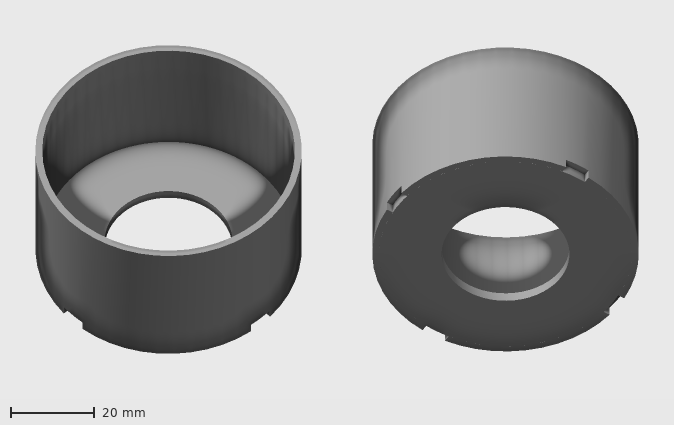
import cadquery as cq

outer_diameter = 63.5
wall_thickness = 1.65
shell_height = 38.1
inner_diameter = outer_diameter - 2 * wall_thickness

notch_width = 6.35
notch_height = 2.5
notch_count = 4

base_thickness = 2.6
base_hole_diameter = 30.5


def ring(outside, inside, height):
    """Flat-ended ring standing on the XY plane around the Z axis."""
    return cq.Workplane("XY").circle(outside / 2).circle(inside / 2).extrude(height)


def notch_cutter():
    """Block that crosses the +X wall and stops at the middle of the bore."""
    return cq.Workplane("XY").box(
        outer_diameter, notch_width, notch_height, centered=(False, True, False)
    )


def make_shell():
    """Tube with evenly spaced notches cut through its wall at the bottom."""
    shell = ring(outer_diameter, inner_diameter, shell_height)
    for index in range(notch_count):
        angle = index * 360 / notch_count
        shell = shell.cut(notch_cutter().rotate((0, 0, 0), (0, 0, 1), angle))
    return shell


def make_base():
    """Ring that fits the bore, flush with the bottom of the shell."""
    return ring(inner_diameter, base_hole_diameter, base_thickness)


shell = make_shell()
base = make_base()

result = cq.Compound.makeCompound([shell.val(), base.val()])